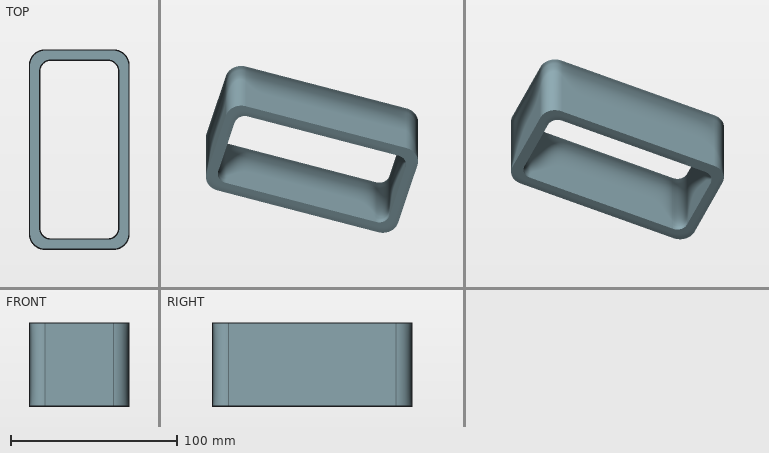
import cadquery as cq

width = 60.0
length = 120.0
height = 50.0
wall = 6.4
inner_radius = wall
outer_radius = 1.5 * wall


def rounded_block(size_x, size_y, corner_radius):
    """Upright block with rounded vertical edges, centred in X and Y."""
    block = cq.Workplane("XY").box(size_x, size_y, height, centered=(True, True, False))
    return block.edges("|Z").fillet(corner_radius)


outer_block = rounded_block(width, length, outer_radius)
bore = rounded_block(width - 2 * wall, length - 2 * wall, inner_radius)

result = outer_block.cut(bore)